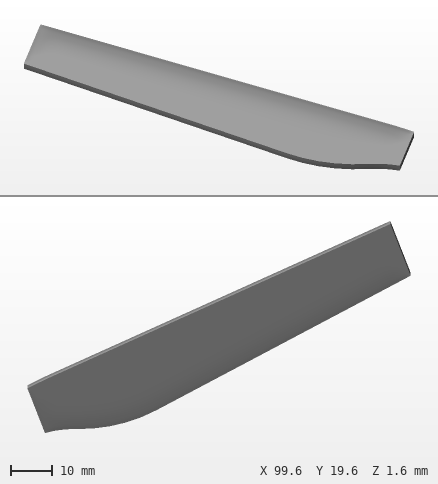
import math

import cadquery as cq

length = 99.58
width = 19.6
thickness = 1.6

end_lean = math.radians(7.8)
left_end_drop = 14.7

top_edge_break_x = 93.0
right_end_top_drop = 0.2
tip_height = 6.7

belly_start = (72.95, 0.08)
belly_end = (92.45, 4.3)

left_end_height = width - left_end_drop
right_end_height = width - right_end_top_drop
left_end_slant = left_end_drop * math.tan(end_lean)
right_end_slant = (right_end_height - tip_height) * math.tan(end_lean)

upper_left = (0, width)
lower_left = (left_end_slant, left_end_height)
tip = (length, tip_height)
upper_right = (length - right_end_slant, right_end_height)
top_edge_break = (top_edge_break_x, width)

result = (
    cq.Workplane("XY")
    .moveTo(*upper_left)
    .lineTo(*lower_left)
    .lineTo(*belly_start)
    .tangentArcPoint(belly_end, relative=False)
    .tangentArcPoint(tip, relative=False)
    .lineTo(*upper_right)
    .lineTo(*top_edge_break)
    .close()
    .extrude(thickness)
)